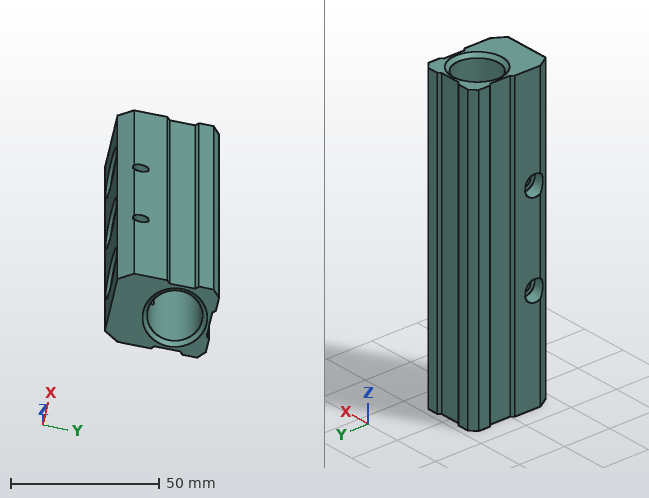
import cadquery as cq

width = 26.0
depth = 35.0
length = 130.0
back_y = depth / 2
front_y = -depth / 2

back_chamfer_x = 2.7
back_chamfer_y = 2.5
front_chamfer_x = 3.1
front_chamfer_y = 5.1

groove_depth = 1.0
groove_wall_run = 1.0
back_groove_width = 10.9
side_groove_width = 10.9
side_groove_y = back_y - 13.0

bore_diameter = 18.7
bore_mouth_diameter = 21.8
bore_y = back_y - 13.0

pitch = 40.0
port_diameter = 15.1
port_mouth_diameter = 17.5
port_heights = (-pitch, 0, pitch)

mount_diameter = 5.5
counterbore_diameter = 9.0
counterbore_depth = 5.5
mount_y = front_y + 7.4
mount_heights = (-pitch / 2, pitch / 2)


def make_bar():
    """Extrude the octagonal outline along Z."""
    half = width / 2
    right_side = [
        (half - front_chamfer_x, front_y),
        (half, front_y + front_chamfer_y),
        (half, back_y - back_chamfer_y),
        (half - back_chamfer_x, back_y),
    ]
    left_side = [(-x, y) for x, y in reversed(right_side)]
    outline = cq.Workplane("XY").polyline(right_side + left_side).close()
    return outline.extrude(length / 2, both=True)


def make_groove(mouth_width, face_distance, angle, center):
    """Trapezoidal cutter set into a face at the given distance from the Z axis.

    The face first points toward +Y and is then turned about Z by the angle.
    """
    half_mouth = mouth_width / 2
    half_floor = half_mouth - groove_wall_run
    floor = face_distance - groove_depth
    points = [
        (-half_mouth, face_distance),
        (-half_floor, floor),
        (half_floor, floor),
        (half_mouth, face_distance),
    ]
    groove = cq.Workplane("XY").polyline(points).close().extrude(length / 2, both=True)
    return groove.rotate((0, 0, 0), (0, 0, 1), angle).translate(center)


def make_mouth(plane, hole_diameter, mouth_diameter):
    """45 degree conical countersink going inward from the plane."""
    mouth_radius = mouth_diameter / 2
    hole_radius = hole_diameter / 2
    cone = cq.Solid.makeCone(
        mouth_radius, hole_radius, mouth_radius - hole_radius, plane.origin, -plane.zDir
    )
    return cq.Workplane(obj=cone)


def cut_bore(body):
    """Through bore with a countersink at both ends."""
    bore = cq.Workplane("XY").center(0, bore_y).circle(bore_diameter / 2)
    body = body.cut(bore.extrude(length / 2, both=True))
    for end in (1, -1):
        plane = cq.Plane((0, bore_y, end * length / 2), normal=(0, 0, end))
        body = body.cut(make_mouth(plane, bore_diameter, bore_mouth_diameter))
    return body


def cut_port(body, height):
    """Countersunk port from the front face into the middle of the bore."""
    plane = cq.Plane((0, front_y, height), xDir=(1, 0, 0), normal=(0, -1, 0))
    port = cq.Workplane(plane).circle(port_diameter / 2).extrude(front_y - bore_y)
    return body.cut(port).cut(make_mouth(plane, port_diameter, port_mouth_diameter))


def cut_mount(body, height):
    """Through hole along X, counterbored from the -X side."""
    start = cq.Workplane("YZ", origin=(-width / 2, mount_y, height))
    hole = start.circle(mount_diameter / 2).extrude(width)
    counterbore = start.circle(counterbore_diameter / 2).extrude(counterbore_depth)
    return body.cut(hole).cut(counterbore)


result = make_bar()
result = result.cut(make_groove(back_groove_width, back_y, 0, (0, 0, 0)))
for turn in (90, -90):
    result = result.cut(make_groove(side_groove_width, width / 2, turn, (0, side_groove_y, 0)))
result = cut_bore(result)
for port_height in port_heights:
    result = cut_port(result, port_height)
for mount_height in mount_heights:
    result = cut_mount(result, mount_height)